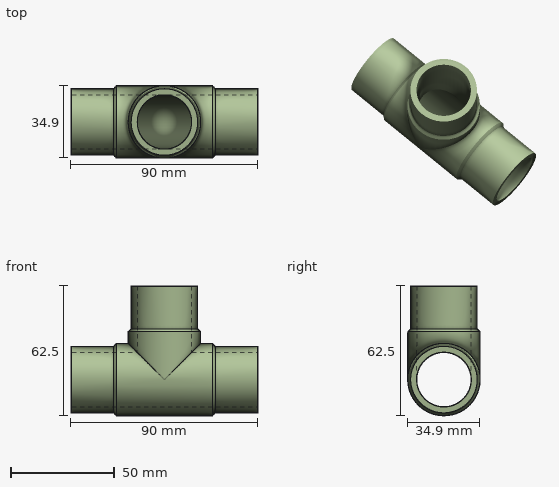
import cadquery as cq

reach = 45.0
body_diameter = 34.9
spigot_diameter = 32.0
bore_diameter = 26.2
spigot_length = 20.5

body_reach = reach - spigot_length
shoulder_chamfer = (body_diameter - spigot_diameter) / 2


def arm(direction):
    """Solid arm from the centre outwards: thick body, bevelled shoulder, spigot."""
    plane = cq.Plane(origin=(0, 0, 0), xDir=(0, 1, 0), normal=direction)
    body = (
        cq.Workplane(plane)
        .circle(body_diameter / 2)
        .extrude(body_reach)
        .faces(cq.selectors.DirectionMinMaxSelector(cq.Vector(*direction), True))
        .chamfer(shoulder_chamfer)
    )
    spigot = cq.Workplane(plane).circle(spigot_diameter / 2).extrude(reach)
    return body.union(spigot)


left_arm = arm((-1, 0, 0))
right_arm = arm((1, 0, 0))
branch_arm = arm((0, 0, 1))

run_bore = cq.Workplane("YZ").circle(bore_diameter / 2).extrude(reach, both=True)
branch_bore = cq.Workplane("XY").circle(bore_diameter / 2).extrude(reach)

result = left_arm.union(right_arm).union(branch_arm).cut(run_bore).cut(branch_bore)